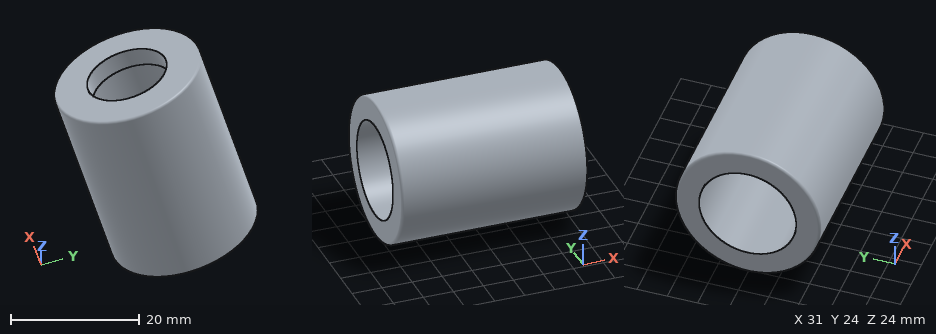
import cadquery as cq

length = 31.0
outer_diameter = 24.0
edge_radius = 0.5

wide_bore_diameter = 16.0
narrow_bore_diameter = 13.0
lip_thickness = 3.1
wide_bore_depth = length - lip_thickness


def rod(diameter, rod_length):
    """Solid cylinder that starts at the -X end face and runs toward +X."""
    start_plane = cq.Workplane("YZ", origin=(-length / 2, 0, 0))
    return start_plane.circle(diameter / 2).extrude(rod_length)


body = rod(outer_diameter, length).edges("%CIRCLE").fillet(edge_radius)

result = body.cut(rod(narrow_bore_diameter, length)).cut(rod(wide_bore_diameter, wide_bore_depth))